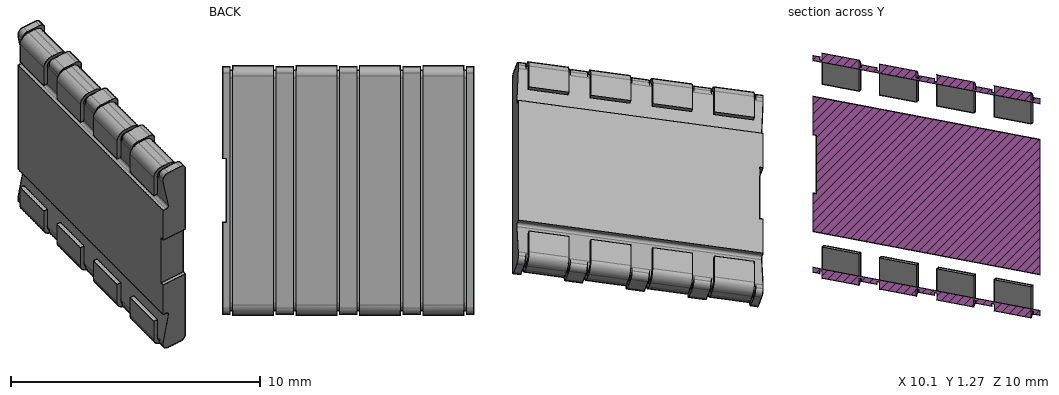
import cadquery as cq


TOTAL_THICKNESS = 1.27
TOTAL_HEIGHT = 10.0

BODY_WIDTH = 10.06
BODY_HEIGHT = 9.92
BODY_CORNER_RADIUS = 0.25

STRIP_COUNT = 4
STRIP_PITCH = 2.54
STRIP_WIDTH = 1.64
STRIP_THICKNESS = 0.18
STRIP_REAR_RADIUS = 0.41
STRIP_FRONT_RADIUS = 0.41
STRIP_LEG_LENGTH = 1.44
STRIP_RECESS = 0.15

CHANNEL_WIDTH = 1.83
CORE_REAR_RADIUS = 0.31
CORE_FRONT_RADIUS = STRIP_FRONT_RADIUS - STRIP_THICKNESS

UNDERCUT_START = 0.43
UNDERCUT_SHOULDER = 2.0
UNDERCUT_DEPTH = 0.28
UNDERCUT_FILLET = 0.12

NOTCH_HEIGHT = 2.54
NOTCH_DEPTH = 0.14

REAR_Y = TOTAL_THICKNESS / 2
STRIP_FRONT_Y = REAR_Y - TOTAL_THICKNESS
BODY_FRONT_Y = STRIP_FRONT_Y + STRIP_THICKNESS
STRIP_REAR_Y = REAR_Y - STRIP_RECESS
CORE_HEIGHT = TOTAL_HEIGHT - 2 * STRIP_THICKNESS
CORE_REAR_Y = STRIP_REAR_Y - STRIP_THICKNESS

STRIP_CENTRES = [(i - (STRIP_COUNT - 1) / 2) * STRIP_PITCH for i in range(STRIP_COUNT)]


def bar(width, x_centre, front_y, rear_y, height):
    """Plain block centred on z = 0."""
    return cq.Workplane("XY").box(width, rear_y - front_y, height).translate(
        (x_centre, (front_y + rear_y) / 2, 0)
    )


def rounded_bar(width, x_centre, front_y, rear_y, height, front_radius, rear_radius):
    """Block whose four edges along X are rounded."""
    block = bar(width, x_centre, front_y, rear_y, height)
    block = block.edges("|X and <Y").fillet(front_radius)
    return block.edges("|X and >Y").fillet(rear_radius)


def core(width, x_centre):
    """Body section at the bottom of a channel, matching the inside of a strip."""
    return rounded_bar(
        width, x_centre, BODY_FRONT_Y, CORE_REAR_Y, CORE_HEIGHT, CORE_FRONT_RADIUS, CORE_REAR_RADIUS
    )


def channel(x_centre):
    """Ring of material removed around the body for one strip."""
    ring = bar(CHANNEL_WIDTH, x_centre, STRIP_FRONT_Y, REAR_Y, TOTAL_HEIGHT)
    return ring.cut(core(CHANNEL_WIDTH, x_centre))


def undercut():
    """Groove across the front near the top end, sloping in to a square shoulder."""
    slope_z = BODY_HEIGHT / 2 - UNDERCUT_START
    shoulder_z = BODY_HEIGHT / 2 - UNDERCUT_SHOULDER
    floor_y = BODY_FRONT_Y + UNDERCUT_DEPTH
    groove = (
        cq.Workplane("YZ")
        .moveTo(BODY_FRONT_Y, slope_z)
        .lineTo(floor_y, shoulder_z)
        .lineTo(BODY_FRONT_Y, shoulder_z)
        .close()
        .extrude(BODY_WIDTH / 2, both=True)
    )
    return groove.edges("|X and >Y").fillet(UNDERCUT_FILLET)


def notch():
    """Shallow cut through the thickness at the middle of the +X edge."""
    return bar(NOTCH_DEPTH, (BODY_WIDTH - NOTCH_DEPTH) / 2, BODY_FRONT_Y, REAR_Y, NOTCH_HEIGHT)


def body():
    block = rounded_bar(
        BODY_WIDTH, 0, BODY_FRONT_Y, REAR_Y, BODY_HEIGHT, BODY_CORNER_RADIUS, BODY_CORNER_RADIUS
    )
    for x_centre in STRIP_CENTRES:
        block = block.cut(channel(x_centre))
    top_undercut = undercut()
    block = block.cut(top_undercut).cut(top_undercut.mirror("XY"))
    return block.cut(notch())


def strip(x_centre):
    """C-shaped strip: across the rear, around both ends, with a short leg at each front end."""
    wrap = rounded_bar(
        STRIP_WIDTH, x_centre, STRIP_FRONT_Y, STRIP_REAR_Y, TOTAL_HEIGHT,
        STRIP_FRONT_RADIUS, STRIP_REAR_RADIUS,
    )
    leg_gap = bar(
        STRIP_WIDTH, x_centre, STRIP_FRONT_Y, BODY_FRONT_Y, TOTAL_HEIGHT - 2 * STRIP_LEG_LENGTH
    )
    return wrap.cut(core(STRIP_WIDTH, x_centre)).cut(leg_gap)


result = body()
for strip_x in STRIP_CENTRES:
    result = result.union(strip(strip_x))